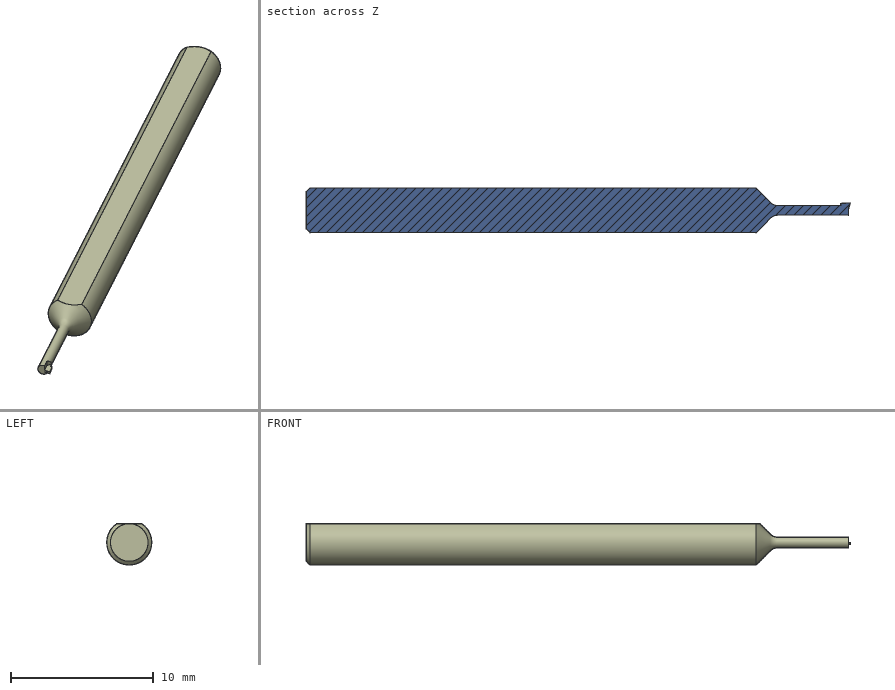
import cadquery as cq
import math

overall_length = 38.1
shank_radius = 1.58
flat_height = 1.315
shank_end = 31.5
back_chamfer = 0.25

pin_radius = 0.4
neck_fillet = 0.65
pin_end = 38.0

tooth_length = 0.7
tooth_reach = 0.55
tooth_thickness = 0.15
tooth_corner_drop = 0.05
notch_floor = 0.1
notch_slope = 0.25


def turned_body():
    """Shank, cone, neck fillet and pin, revolved about the X axis."""
    half_angle = math.radians(45)
    neck_radius = pin_radius + neck_fillet * (1 - math.cos(half_angle))
    neck_start = shank_end + shank_radius - neck_radius
    neck_end = neck_start + neck_fillet * math.sin(half_angle)
    arc_middle = (
        neck_end - neck_fillet * math.sin(half_angle / 2),
        pin_radius + neck_fillet * (1 - math.cos(half_angle / 2)),
    )
    return (
        cq.Workplane("XZ")
        .lineTo(0, shank_radius - back_chamfer)
        .lineTo(back_chamfer, shank_radius)
        .lineTo(shank_end, shank_radius)
        .lineTo(neck_start, neck_radius)
        .threePointArc(arc_middle, (neck_end, pin_radius))
        .lineTo(pin_end, pin_radius)
        .lineTo(pin_end, 0)
        .close()
        .revolve(360, (0, 0, 0), (1, 0, 0))
    )


def flat_cutter():
    """Block above the clamping flat along the shank."""
    return cq.Workplane("XY").box(
        overall_length, 2 * shank_radius, shank_radius, centered=(False, True, False)
    ).translate((0, 0, flat_height))


def notch_cutter():
    """Clearance above the tooth, open to the +Y side and the tip."""
    tooth_start = overall_length - tooth_length
    return (
        cq.Workplane("XY")
        .moveTo(tooth_start, notch_floor)
        .lineTo(overall_length, notch_floor)
        .lineTo(overall_length, tooth_reach)
        .lineTo(tooth_start - notch_slope, tooth_reach)
        .lineTo(tooth_start - notch_slope, pin_radius)
        .close()
        .extrude(pin_radius)
    )


def tooth():
    """Pointed tooth whose cutting face lies on the axis plane."""
    tooth_start = overall_length - tooth_length
    return (
        cq.Workplane("XY")
        .moveTo(tooth_start, 0)
        .lineTo(tooth_start, tooth_reach - tooth_corner_drop)
        .lineTo(overall_length, tooth_reach)
        .lineTo(pin_end, notch_floor)
        .lineTo(pin_end, 0)
        .close()
        .extrude(-tooth_thickness)
    )


result = turned_body().cut(flat_cutter()).cut(notch_cutter()).union(tooth())